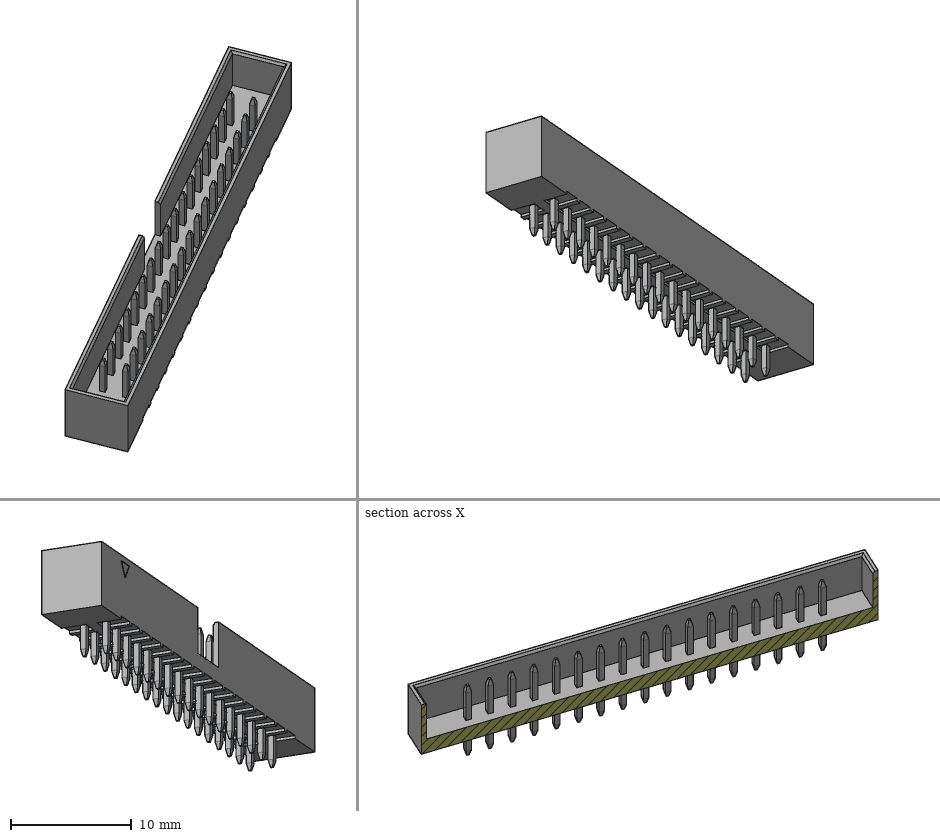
import cadquery as cq

body_width = 5.5
body_length = 41.2
body_height = 5.6
wall = 0.5
cavity_depth = 4.0
rim_chamfer = 0.2

key_slot_length = 4.0

pin_pitch = 2.0
row_count = 2
pins_per_row = 17
pin_side = 0.5
pin_tail = 2.5
pin_top_gap = 0.3
tip_length = 0.6
tip_side = 0.2

recess_length = 1.5
recess_height = 0.25
center_rib = 1.0

mark_width = 1.5
mark_height = 1.25
mark_top_gap = 0.5
mark_depth = 0.05

cavity_width = body_width - 2 * wall
cavity_length = body_length - 2 * wall
cavity_floor = body_height - cavity_depth
outer_x = body_width / 2
pin_xs = [(i - (row_count - 1) / 2) * pin_pitch for i in range(row_count)]
pin_ys = [(i - (pins_per_row - 1) / 2) * pin_pitch for i in range(pins_per_row)]


def box_on(z, size_x, size_y, size_z, x=0, y=0):
    """Box standing on height z, centered on (x, y)."""
    return cq.Workplane("XY", origin=(x, y, z)).box(size_x, size_y, size_z, centered=(True, True, False))


def make_housing():
    """Open-topped box with a chamfered inner rim."""
    cavity = box_on(cavity_floor, cavity_width, cavity_length, cavity_depth)
    lead_in = (
        cq.Workplane("XY", origin=(0, 0, body_height - rim_chamfer))
        .rect(cavity_width, cavity_length)
        .workplane(offset=rim_chamfer)
        .rect(cavity_width + 2 * rim_chamfer, cavity_length + 2 * rim_chamfer)
        .loft(ruled=True)
    )
    return box_on(0, body_width, body_length, body_height).cut(cavity).cut(lead_in)


def make_key_slot():
    """Cut through the -X wall down to the cavity floor."""
    return box_on(cavity_floor, outer_x, key_slot_length, cavity_depth, x=-outer_x / 2)


def make_recesses():
    """Shallow slots from each long side in to the center rib."""
    depth = (body_width - center_rib) / 2
    center_x = (center_rib + depth) / 2
    points = [(side * center_x, y) for side in (-1, 1) for y in pin_ys]
    return cq.Workplane("XY").pushPoints(points).rect(depth, recess_length).extrude(recess_height)


def make_mark():
    """Downward-pointing triangle, level with the pin nearest the +Y end."""
    center_y = pin_ys[-1]
    top_z = body_height - mark_top_gap
    return (
        cq.Workplane("YZ", origin=(-outer_x, 0, 0))
        .moveTo(center_y - mark_width / 2, top_z)
        .lineTo(center_y + mark_width / 2, top_z)
        .lineTo(center_y, top_z - mark_height)
        .close()
        .extrude(mark_depth)
    )


def make_pin():
    """Square pin on the Z axis with a tapered tip at each end."""
    bottom_z = -pin_tail
    top_z = body_height - pin_top_gap
    shank_length = top_z - bottom_z - 2 * tip_length
    return (
        cq.Workplane("XY", origin=(0, 0, bottom_z))
        .rect(tip_side, tip_side)
        .workplane(offset=tip_length)
        .rect(pin_side, pin_side)
        .workplane(offset=shank_length)
        .rect(pin_side, pin_side)
        .workplane(offset=tip_length)
        .rect(tip_side, tip_side)
        .loft(ruled=True)
    )


housing = make_housing().cut(make_key_slot()).cut(make_recesses()).cut(make_mark())
pin = make_pin().val()
pins = [pin.translate(cq.Vector(x, y, 0)) for x in pin_xs for y in pin_ys]
result = cq.Workplane(housing.val().fuse(*pins))